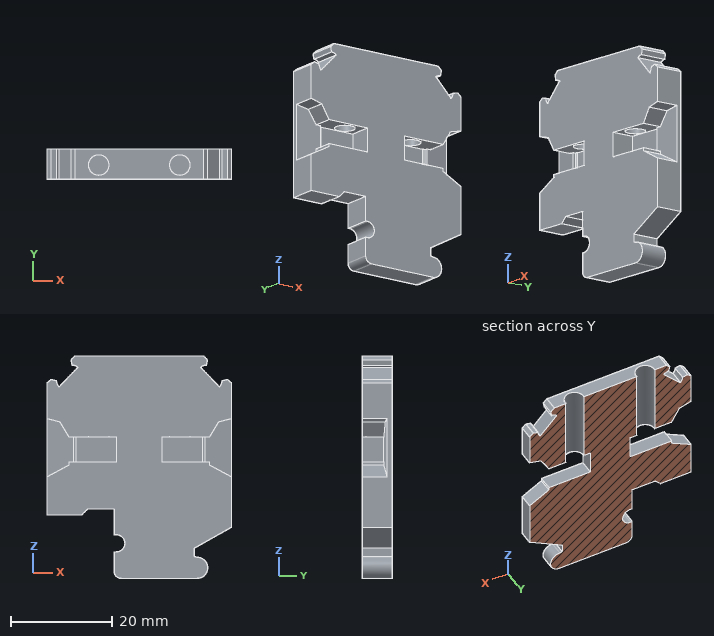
import cadquery as cq

WIDTH = 36.5
THICKNESS = 6.0
HEIGHT = 44.0

FOOT_LEFT = 13.3
FOOT_CORNER_RADIUS = 1.4
RAIL_NOTCH_RADIUS = 1.65
RAIL_NOTCH_X = 13.75
RAIL_NOTCH_Z = 6.95
HOOK_RADIUS = 2.1
HOOK_X = 29.7
HOOK_NECK_X = 29.15
HOOK_NECK_BOTTOM = 4.35
HOOK_NECK_TOP = 6.0
SLOPE_TOP = 10.1

ARM_BOTTOM = 12.5
ARM_STEP_TOP = 13.75
ARM_STEP_START = 6.85
ARM_STEP_END = 8.1

SLOT_BOTTOM = 23.0
SLOT_TOP = 28.0
SLOT_END = 13.75
LEDGE_START = 5.3
LEDGE_END = 5.8
MOUTH_INNER_X = 4.35
MOUTH_KINK = (2.6, 30.95)
MOUTH_TOP = 31.6
MOUTH_STEP_Z = 22.4
MOUTH_BOTTOM = 20.05
MOUTH_OUTER_DEPTH = 4.95
MOUTH_INNER_DEPTH = 4.2
LEDGE_DEPTH = 4.8
SLOT_DEPTH = 4.95

SCREW_DIAMETER = 4.05
SCREW_X = 10.25
SCREW_Y = 2.8


def make_body():
    """Extrude the side outline, with plain square upper corners, through the thickness."""
    outline = (
        cq.Workplane("XZ")
        .moveTo(0, HEIGHT)
        .lineTo(0, ARM_BOTTOM)
        .lineTo(ARM_STEP_START, ARM_BOTTOM)
        .lineTo(ARM_STEP_END, ARM_STEP_TOP)
        .lineTo(FOOT_LEFT, ARM_STEP_TOP)
        .lineTo(FOOT_LEFT, RAIL_NOTCH_Z + RAIL_NOTCH_RADIUS)
        .lineTo(RAIL_NOTCH_X, RAIL_NOTCH_Z + RAIL_NOTCH_RADIUS)
        .threePointArc(
            (RAIL_NOTCH_X + RAIL_NOTCH_RADIUS, RAIL_NOTCH_Z),
            (RAIL_NOTCH_X, RAIL_NOTCH_Z - RAIL_NOTCH_RADIUS),
        )
        .lineTo(FOOT_LEFT, RAIL_NOTCH_Z - RAIL_NOTCH_RADIUS)
        .lineTo(FOOT_LEFT, FOOT_CORNER_RADIUS)
        .radiusArc((FOOT_LEFT + FOOT_CORNER_RADIUS, 0), -FOOT_CORNER_RADIUS)
        .lineTo(HOOK_X, 0)
        .threePointArc((HOOK_X + HOOK_RADIUS, HOOK_RADIUS), (HOOK_X, 2 * HOOK_RADIUS))
        .lineTo(HOOK_NECK_X, HOOK_NECK_BOTTOM)
        .lineTo(HOOK_NECK_X, HOOK_NECK_TOP)
        .lineTo(WIDTH, SLOPE_TOP)
        .lineTo(WIDTH, HEIGHT)
        .close()
    )
    return outline.extrude(-THICKNESS)


def make_corner_notch():
    """Material removed at the upper left to leave two small lips and a 45 degree flank."""
    return (
        cq.Workplane("XZ")
        .moveTo(0, HEIGHT)
        .lineTo(5.6, HEIGHT)
        .lineTo(4.75, 43.2)
        .lineTo(4.95, 42.1)
        .threePointArc((5.6, 42.0), (6.1, 41.7))
        .lineTo(2.4, 37.9)
        .threePointArc((2.1, 38.35), (1.95, 39.05))
        .lineTo(0.85, 39.35)
        .lineTo(0, 38.65)
        .close()
        .extrude(-THICKNESS)
    )


def make_wire_entry():
    """Material removed from the front face at the left side for one wire entry."""
    mouth = (
        cq.Workplane("XZ")
        .polyline([
            (0, MOUTH_TOP),
            MOUTH_KINK,
            (MOUTH_INNER_X, SLOT_TOP),
            (LEDGE_END, SLOT_TOP),
            (LEDGE_END, SLOT_BOTTOM),
            (MOUTH_INNER_X, SLOT_BOTTOM),
            (MOUTH_INNER_X, MOUTH_STEP_Z),
            (0, MOUTH_BOTTOM),
        ])
        .close()
        .extrude(-THICKNESS)
    )
    mouth_depth = (
        cq.Workplane("XY")
        .polyline([
            (0, 0),
            (0, MOUTH_OUTER_DEPTH),
            (LEDGE_START, MOUTH_INNER_DEPTH),
            (LEDGE_START, LEDGE_DEPTH),
            (LEDGE_END, LEDGE_DEPTH),
            (LEDGE_END, 0),
        ])
        .close()
        .extrude(HEIGHT)
    )
    slot = cq.Workplane("XY").box(
        SLOT_END - LEDGE_END, SLOT_DEPTH, SLOT_TOP - SLOT_BOTTOM, centered=False
    ).translate((LEDGE_END, 0, SLOT_BOTTOM))
    return mouth.intersect(mouth_depth).union(slot)


def make_screw_hole():
    """Vertical screw hole from the top face down into the clamp slot."""
    return (
        cq.Workplane("XY", origin=(SCREW_X, SCREW_Y, SLOT_TOP))
        .circle(SCREW_DIAMETER / 2)
        .extrude(HEIGHT - SLOT_TOP)
    )


def mirror_across_width(shape):
    """Copy a left-side shape to the right side of the block."""
    return shape.mirror("YZ", (WIDTH / 2, 0, 0))


result = make_body()
for left_cut in (make_corner_notch(), make_wire_entry(), make_screw_hole()):
    result = result.cut(left_cut).cut(mirror_across_width(left_cut))